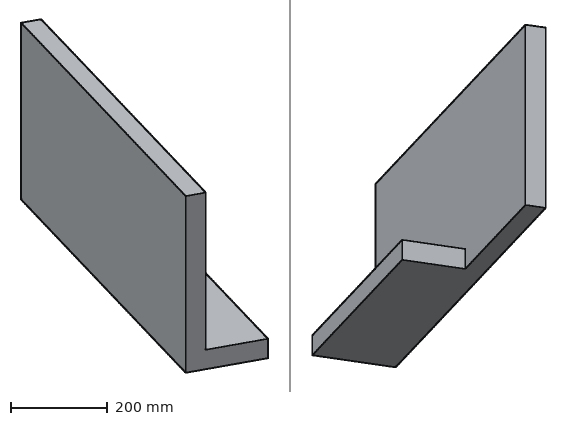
import cadquery as cq

panel_length = 898.5
panel_height = 406.0
board_thickness = 45.0

total_depth = 184.0
shelf_length = 538.0
shelf_depth = total_depth - board_thickness

panel = cq.Workplane("XY").box(panel_length, board_thickness, panel_height, centered=False)

shelf = (
    cq.Workplane("XY")
    .box(shelf_length, shelf_depth, board_thickness, centered=False)
    .translate((panel_length - shelf_length, board_thickness, 0))
)

result = panel.union(shelf)